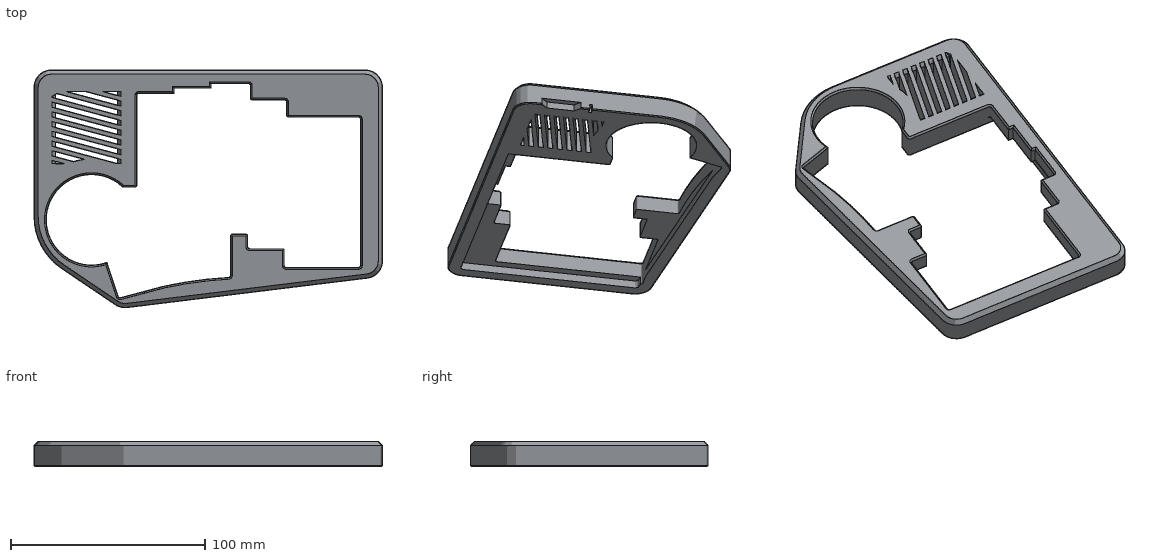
import cadquery as cq
import math

length = 179.4
width = 122.4
height = 13.0
left_corner_y = 29.8
right_corner_y = 16.1
tip_x = 44.7
tip_y = -0.4
corner_radius = 9
left_sweep_radius = 32.3
top_chamfer = 2.2
bottom_chamfer = 0.5

window_left = 53.0
window_right = 168.1
window_front = 20.6
window_chamfer = 0.9
window_corner_radius = 1.0
back_steps = [(72.1, 110.3), (91.1, 113.0), (111.4, 115.4), (130.0, 107.0), (window_right, 98.1)]
post_left = 101.2
front_steps = [(128.8, window_front), (110.0, 30.3), (post_left, 37.9)]
curve_right_y = 15.6
curve_mid = (85.0, 14.2)
curve_left = (67.3, 11.1)
window_tip = (43.6, 4.8)

bay_x = 29.6
bay_y = 45.2
bay_radius = 23.3
bay_ledge_y = 62.0
bay_wedge_x = 37.5

seat_depth = 4.1
rim_width = 6.8

vent_left = 9.3
vent_right = 44.7
vent_front = 74.1
vent_back = 111.2
vent_end_chamfer = 1.8
vent_corner_x = 4.0
vent_corner_y = 2.5
vent_bay_wall = 8.0
slot_angle = 15
slot_width = 2.5
slot_pitch = 4.8
slot_length = 71.8
slot_x = 24.5
slot_y = 90.5
slots_in_front = 4
slots_behind = 5

port_y = 98.7
port_outer_width = 20.6
port_flare = 3.2
port_height = 3.5
notch_y = 83.0
notch_width = 1.5
notch_depth = 3.2
notch_height = 2.9


def round_upright_edges(solid, points, radius):
    """Fillet the vertical edge nearest to each (x, y) point."""
    for x, y in points:
        nearest = cq.selectors.NearestToPointSelector((x, y, height / 2))
        solid = solid.edges("|Z").edges(nearest).fillet(radius)
    return solid


def make_slab():
    left_corner = (0, left_corner_y)
    other_corners = [(0, width), (length, width), (length, right_corner_y), (tip_x, tip_y)]
    slab = cq.Workplane("XY").polyline(other_corners + [left_corner]).close().extrude(height)
    slab = round_upright_edges(slab, [left_corner], left_sweep_radius)
    return round_upright_edges(slab, other_corners, corner_radius)


def make_window():
    ledge_x = bay_x + math.sqrt(bay_radius**2 - (bay_ledge_y - bay_y) ** 2)
    wedge_y = bay_y - math.sqrt(bay_radius**2 - (bay_wedge_x - bay_x) ** 2)

    stairs = [(window_left, bay_ledge_y)]
    x = window_left
    for end_x, y in back_steps + front_steps:
        stairs += [(x, y), (end_x, y)]
        x = end_x
    stairs.append((post_left, curve_right_y))

    outline = cq.Workplane("XY").polyline([(ledge_x, bay_ledge_y)] + stairs)
    outline = outline.threePointArc(curve_mid, curve_left).lineTo(*window_tip).lineTo(bay_wedge_x, wedge_y)
    outline = outline.threePointArc((bay_x - bay_radius, bay_y), (ledge_x, bay_ledge_y)).close()

    sharp_xs = [back_steps[0][0], back_steps[1][0]]
    rounded = [point for point in stairs if point[0] not in sharp_xs] + [window_tip, (ledge_x, bay_ledge_y)]
    return round_upright_edges(outline.extrude(height), rounded, window_corner_radius)


def make_seat(slab):
    inside_rim = slab.faces("<Z").wires().toPending().offset2D(-rim_width).extrude(seat_depth, combine=False)
    beside_bay = cq.Workplane("XY").box(length, width, height, centered=False).translate((window_left, 0, 0))
    return inside_rim.intersect(beside_bay)


def make_vent():
    shoulder_z = height - vent_end_chamfer
    area = (
        cq.Workplane("XZ", origin=(0, vent_back, 0))
        .moveTo(vent_left + vent_end_chamfer, 0)
        .lineTo(vent_left + vent_end_chamfer, shoulder_z)
        .lineTo(vent_left, height)
        .lineTo(vent_right, height)
        .lineTo(vent_right - vent_end_chamfer, shoulder_z)
        .lineTo(vent_right - vent_end_chamfer, 0)
        .close()
        .extrude(vent_back - vent_front)
    )
    corner = (
        cq.Workplane("XY")
        .moveTo(vent_left, vent_back)
        .lineTo(vent_left + vent_corner_x, vent_back)
        .lineTo(vent_left, vent_back - vent_corner_y)
        .close()
        .extrude(height)
    )
    bay_wall = cq.Workplane("XY").center(bay_x, bay_y).circle(bay_radius + vent_bay_wall).extrude(height)
    offsets = [(0, index * slot_pitch) for index in range(-slots_in_front, slots_behind + 1)]
    slots = (
        cq.Workplane("XY", origin=(slot_x, slot_y, 0))
        .transformed(rotate=(0, 0, -slot_angle))
        .pushPoints(offsets)
        .rect(slot_length, slot_width)
        .extrude(height)
    )
    return slots.intersect(area).cut(bay_wall).cut(corner)


def make_port():
    half_outer = port_outer_width / 2
    half_inner = half_outer - port_flare
    corners = [(0, -half_outer), (port_flare, -half_inner), (port_flare, half_inner), (0, half_outer)]
    return cq.Workplane("XY", origin=(0, port_y, 0)).polyline(corners).close().extrude(port_height)


def make_notch():
    notch = cq.Workplane("XY").box(notch_depth, notch_width, notch_height, centered=(False, True, False))
    return notch.translate((0, notch_y, 0))


slab = make_slab()
body = slab.faces(">Z").edges().chamfer(top_chamfer)
body = body.faces("<Z").edges().chamfer(bottom_chamfer)

body = body.cut(make_window())
window_wire = body.faces(">Z").val().innerWires()[0]
body = body.newObject(window_wire.Edges()).chamfer(window_chamfer)

body = body.cut(make_seat(slab))
body = body.cut(make_vent())
body = body.cut(make_port())
result = body.cut(make_notch())